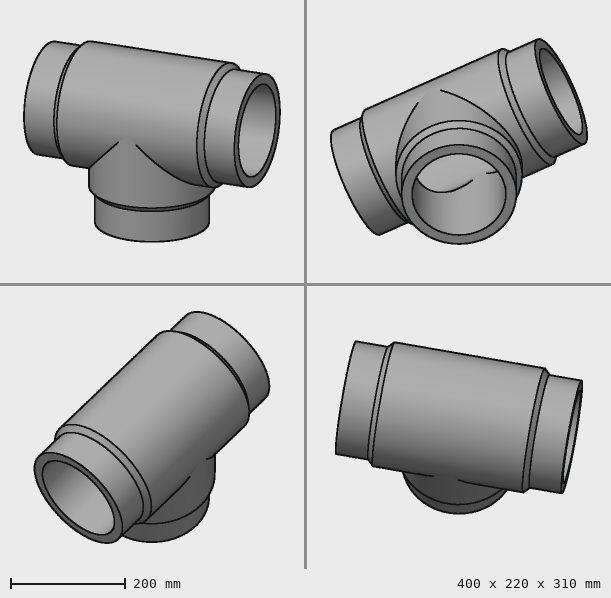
import cadquery as cq

run_length = 400.0
body_diameter = 220.0
spigot_diameter = 200.0
bore_diameter = 163.5
body_length = 266.0

arm_length = run_length / 2
body_radius = body_diameter / 2
spigot_radius = spigot_diameter / 2
taper_start = body_length / 2
taper_end = taper_start + body_radius - spigot_radius


def make_run():
    """Solid run: a body with a taper and a spigot at both ends."""
    profile = (
        cq.Workplane("XY")
        .moveTo(-arm_length, 0)
        .lineTo(-arm_length, spigot_radius)
        .lineTo(-taper_end, spigot_radius)
        .lineTo(-taper_start, body_radius)
        .lineTo(taper_start, body_radius)
        .lineTo(taper_end, spigot_radius)
        .lineTo(arm_length, spigot_radius)
        .lineTo(arm_length, 0)
        .close()
    )
    return profile.revolve(360, (0, 0), (1, 0))


def make_branch():
    """Solid branch: the same taper and spigot, from the tee centre down."""
    profile = (
        cq.Workplane("XZ")
        .lineTo(body_radius, 0)
        .lineTo(body_radius, -taper_start)
        .lineTo(spigot_radius, -taper_end)
        .lineTo(spigot_radius, -arm_length)
        .lineTo(0, -arm_length)
        .close()
    )
    return profile.revolve(360, (0, 0), (0, 1))


run_bore = cq.Workplane("YZ").circle(bore_diameter / 2).extrude(arm_length, both=True)
branch_bore = cq.Workplane("XY").circle(bore_diameter / 2).extrude(-arm_length)

result = make_run().union(make_branch()).cut(run_bore).cut(branch_bore)